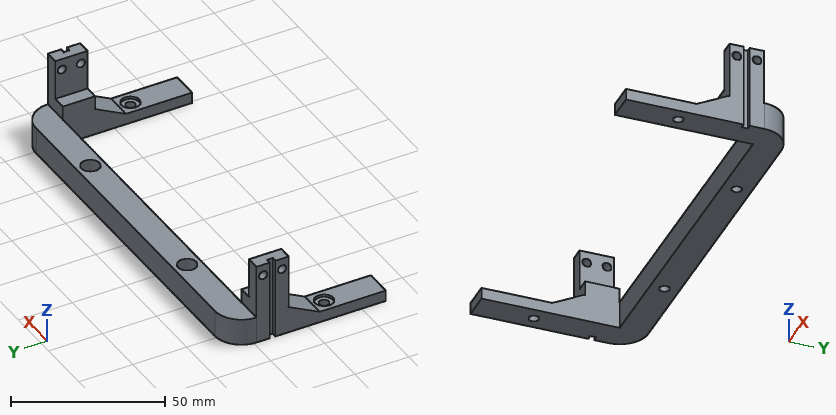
import cadquery as cq

length = 138.0
bar_size = 10.0
corner_radius = bar_size
bar_hole_spacing = 64.0
bar_counterbore_depth = 7.0

arm_length = 48.0
foot_height = 4.1
post_depth = 12.0
post_height = 30.0
post_thickness = bar_size / 2
shoulder_height = 15.0
ramp_length = 11.5
foot_hole_offset = 27.9
foot_counterbore_depth = 1.0

screw_diameter = 3.5
counterbore_diameter = 6.6

groove_width = 2.1
groove_depth = 1.8
pin_diameter = 3.0
pin_spacing = 7.0
pin_top_offset = 4.1


def make_bar():
    half = length / 2
    bar = (
        cq.Workplane("XY")
        .moveTo(-half, 0)
        .radiusArc((-half + corner_radius, bar_size), corner_radius)
        .lineTo(half - corner_radius, bar_size)
        .radiusArc((half, 0), corner_radius)
        .close()
        .extrude(bar_size)
    )
    return (
        bar.faces(">Z").workplane(origin=(0, bar_size / 2, bar_size))
        .pushPoints([(-bar_hole_spacing / 2, 0), (bar_hole_spacing / 2, 0)])
        .cboreHole(screw_diameter, counterbore_diameter, bar_counterbore_depth)
    )


def make_left_arm():
    outer_x = -length / 2
    arm = (
        cq.Workplane("YZ", origin=(outer_x, 0, 0))
        .polyline([
            (0, 0),
            (-arm_length, 0),
            (-arm_length, foot_height),
            (-post_depth - ramp_length, foot_height),
            (-post_depth, bar_size),
            (-post_depth, post_height),
            (0, post_height),
        ])
        .close()
        .extrude(bar_size)
    )

    step = cq.Workplane("XY").box(
        bar_size - post_thickness, post_depth, post_height - shoulder_height, centered=False
    )
    arm = arm.cut(step.translate((outer_x + post_thickness, -post_depth, shoulder_height)))

    groove = cq.Workplane("XY").box(
        2 * groove_depth, groove_width, post_height, centered=(True, True, False)
    )
    arm = arm.cut(groove.translate((outer_x, -post_depth / 2, 0)))

    pins = (
        cq.Workplane("YZ", origin=(outer_x, -post_depth / 2, post_height - pin_top_offset))
        .pushPoints([(-pin_spacing / 2, 0), (pin_spacing / 2, 0)])
        .circle(pin_diameter / 2)
        .extrude(post_thickness)
    )
    arm = arm.cut(pins)

    return (
        arm.copyWorkplane(
            cq.Workplane("XY", origin=(outer_x + bar_size / 2, -foot_hole_offset, foot_height))
        )
        .cboreHole(screw_diameter, counterbore_diameter, foot_counterbore_depth)
    )


left_arm = make_left_arm()
right_arm = left_arm.mirror("YZ")
result = make_bar().union(left_arm).union(right_arm)